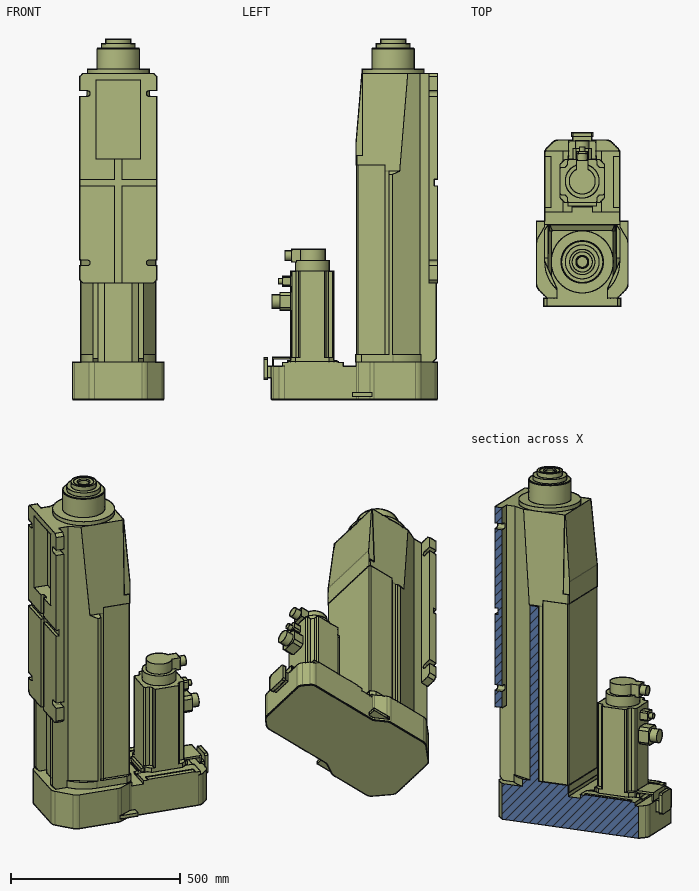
import cadquery as cq


TOTAL_HEIGHT = 1065.0

FRONT_Y = -131.0
CASE_HALF_WIDTH = 135.0
CASE_HEIGHT = 112.0
CASE_FRONT_CHAMFER = 55.0
CASE_BACK_START_Y = 63.0
CASE_BACK_CHAMFER_END_Y = 104.0
CASE_BACK_Y = 110.0
CASE_CORNER_RADIUS = 23.0
CASE_INNER_RADIUS = 12.0
CASE_BOTTOM_CHAMFER = 2.0
ARM_HALF_WIDTH = 111.0
ARM_HEIGHT = 100.0
ARM_END_Y = 360.0
ARM_CHAMFER = 30.0
ARM_PAD_START_Y = 147.0
ARM_PAD_END_Y = 327.0
ARM_PAD_HEIGHT = 111.0
ARM_PAD_NOTCH_HALF_WIDTH = 31.0
ARM_PAD_NOTCH_LENGTH = 15.0
ARM_PAD_TROUGH_HALF_WIDTH = 56.0
ARM_PAD_TROUGH_DEPTH = 5.0
SIDE_STRIP_WIDTH = 19.0
SIDE_STRIP_START_Y = 161.0
SIDE_STRIP_END_Y = 311.0
SIDE_STRIP_RISE = 2.0
TAB_END_Y = 120.0
TAB_BOTTOM = 11.0
TAB_THICKNESS = 11.0

COLUMN_HALF_WIDTH = 111.0
COLUMN_BACK_Y = 110.0
COLUMN_TOP = 964.0
COLUMN_BACK_CHAMFER = 4.0
SLANT_START_Y = 2.0
NECK_HALF_WIDTH = 75.0
NECK_START_Y = -79.0
NECK_FRONT_Y = -128.0
NECK_FOOT_CHAMFER = 11.0
TRENCH_HALF_WIDTH = 60.0
TRENCH_SIDE_Y = -89.0
TRENCH_FLAT_HALF_WIDTH = 40.0
TRENCH_FLAT_Y = -101.0
FOOT_TOP = 134.0
FOOT_BACK_Y = 111.0
FOOT_BACK_CHAMFER_X = 10.0
FOOT_BACK_CHAMFER_Y = 17.0

PANEL_HALF_WIDTH = 101.0
PANEL_INSET = 1.0
PANEL_START_Y = 25.0
PANEL_TOP = 693.0
RAIL_BACK_Y = 12.0
RAIL_TOP = 675.0

HEAD_TOP_HALF_WIDTH = 90.0
HEAD_TOP_BACK_Y = 93.0
HEAD_BACK_TAPER_END = 761.0
HEAD_CORNER_Y = 90.0
HEAD_CORNER_BOTTOM = 722.0
HEAD_CORNER_DEPTH = 2.0

PLATE_HALF_WIDTH = 114.0
PLATE_THICKNESS = 25.0
PLATE_BOTTOM = 345.0
PLATE_CHAMFER = 10.0
SLOT_HEIGHTS = (405.0, 904.0)
SLOT_WIDTH = 17.0
SLOT_LENGTH = 31.0
POCKET_HALF_WIDTH = 66.0
POCKET_BOTTOM = 711.0
POCKET_TOP = 945.0
POCKET_DEPTH = 43.0
GROOVE_DEPTH = 10.0
KEYWAY_WIDTH = 22.0
CROSS_GROOVE_BOTTOM = 632.0
CROSS_GROOVE_TOP = 651.0

FLANGE_RADIUS = 92.0
FLANGE_TOP = 977.0
SPINDLE_RADIUS = 63.0
SPINDLE_SHOULDER = 1038.0
SPINDLE_CHAMFER = 2.0
COLLAR_RADIUS = 50.0
COLLAR_TOP = 1051.0
TIP_RADIUS = 37.0
TIP_RECESS_RADIUS = 30.0
TIP_RECESS_DEPTH = 1.0
TIP_HOLE_RADIUS = 16.0
TIP_HOLE_DEPTH = 32.0
TIP_HOLE_CHAMFER = 3.0

MOTOR_Y = 239.0
MOTOR_HALF_WIDTH = 66.0
MOTOR_HALF_DEPTH = 64.0
MOTOR_TOP = 380.0
MOTOR_CORNER_CHAMFER = 15.0
MOTOR_FLANGE_TOP = 125.0
MOTOR_SEAT_HALF_WIDTH = 42.0
MOTOR_SEAT_HALF_DEPTH = 73.0
MOTOR_SEAT_TOP = 117.0
CORNER_GROOVE_X = 44.0
CORNER_GROOVE_Y = 40.0
CORNER_GROOVE_CHAMFER = 7.0
CORNER_GROOVE_LIP = 4.0
ENCODER_RADIUS = 50.0
ENCODER_TOP = 412.0
CAP_RADIUS = 38.0
CAP_TOP = 445.0

CAP_CONNECTOR = (17.0, 407.0, CAP_TOP, 299.0, 0, 15.0, 320.0)
SIGNAL_CONNECTOR = (16.0, 335.0, 365.0, 326.0, 4.0, 9.0, 339.0)
POWER_CONNECTOR = (27.0, 264.0, 317.0, 334.0, 9.0, 20.0, 358.0)

COVER_HALF_WIDTH = 40.0
COVER_TOP = 127.0
COVER_THICKNESS = 6.0
COVER_START_Y = 304.0
COVER_END_Y = 357.0
COVER_LEG_THICKNESS = 4.0
STOP_HALF_WIDTH = 32.0
STOP_START_Y = 371.0
STOP_END_Y = 381.0
STOP_BOTTOM = 60.0
STOP_TOP = 125.0
STOP_CHAMFER = 5.0
STOP_LINK_HALF_WIDTH = 29.0
STOP_LINK_BOTTOM = 65.0


def block(x_range, y_range, z_range):
    """Box between pairs of coordinates."""
    (x0, x1), (y0, y1), (z0, z1) = x_range, y_range, z_range
    return cq.Workplane("XY").box(x1 - x0, y1 - y0, z1 - z0, centered=False).translate((x0, y0, z0))


def centred_block(half_width, y_range, z_range):
    """Box that is symmetric about X = 0."""
    return block((-half_width, half_width), y_range, z_range)


def cylinder(radius, z_range, y=0.0):
    """Upright cylinder centred on X = 0."""
    bottom, top = z_range
    return cq.Workplane("XY", origin=(0, y, bottom)).circle(radius).extrude(top - bottom)


def mirrored_prism(half_outline, z_range):
    """Upright prism from the +X half of an outline, listed from one end of the symmetry line to the other."""
    bottom, top = z_range
    mirrored_half = [(-x, y) for x, y in reversed(half_outline)]
    base = cq.Workplane("XY", origin=(0, 0, bottom))
    return base.polyline(half_outline + mirrored_half).close().extrude(top - bottom)


def both_sides(shape):
    """A +X feature together with its mirror image."""
    return shape.union(shape.mirror("YZ"))


def belt_case():
    case_outline = [
        (CASE_HALF_WIDTH - CASE_FRONT_CHAMFER, FRONT_Y),
        (CASE_HALF_WIDTH, FRONT_Y + CASE_FRONT_CHAMFER),
        (CASE_HALF_WIDTH, CASE_BACK_START_Y),
        (ARM_HALF_WIDTH, CASE_BACK_CHAMFER_END_Y),
        (ARM_HALF_WIDTH, CASE_BACK_Y),
    ]
    wide_end = mirrored_prism(case_outline, (0, CASE_HEIGHT))
    wide_end = (
        wide_end.edges("|Z")
        .filter(lambda edge: edge.Center().y < CASE_BACK_CHAMFER_END_Y - CASE_INNER_RADIUS)
        .fillet(CASE_CORNER_RADIUS)
    )
    for x in (-ARM_HALF_WIDTH, ARM_HALF_WIDTH):
        inner_corner = cq.selectors.NearestToPointSelector((x, CASE_BACK_CHAMFER_END_Y, CASE_HEIGHT / 2))
        wide_end = wide_end.edges(inner_corner).fillet(CASE_INNER_RADIUS)
    arm_outline = [
        (ARM_HALF_WIDTH, 0),
        (ARM_HALF_WIDTH, ARM_END_Y - ARM_CHAMFER),
        (ARM_HALF_WIDTH - ARM_CHAMFER, ARM_END_Y),
    ]
    arm = mirrored_prism(arm_outline, (0, ARM_HEIGHT))
    arm = arm.edges("|Z").edges("not <Y").fillet(CASE_CORNER_RADIUS)
    case = wide_end.union(arm).faces("<Z").edges().chamfer(CASE_BOTTOM_CHAMFER)
    return case.union(arm_pad()).union(both_sides(side_tab()))


def arm_pad():
    """Raised seat for the motor on the arm of the case."""
    pad = centred_block(ARM_HALF_WIDTH, (ARM_PAD_START_Y, ARM_PAD_END_Y), (ARM_HEIGHT, ARM_PAD_HEIGHT))
    notch = centred_block(
        ARM_PAD_NOTCH_HALF_WIDTH,
        (ARM_PAD_START_Y, ARM_PAD_START_Y + ARM_PAD_NOTCH_LENGTH),
        (ARM_HEIGHT, ARM_PAD_HEIGHT),
    )
    trough = centred_block(
        ARM_PAD_TROUGH_HALF_WIDTH,
        (ARM_PAD_START_Y, ARM_PAD_END_Y),
        (ARM_PAD_HEIGHT - ARM_PAD_TROUGH_DEPTH, ARM_PAD_HEIGHT),
    )
    strip = block(
        (ARM_HALF_WIDTH - SIDE_STRIP_WIDTH, ARM_HALF_WIDTH),
        (SIDE_STRIP_START_Y, SIDE_STRIP_END_Y),
        (ARM_PAD_HEIGHT, ARM_PAD_HEIGHT + SIDE_STRIP_RISE),
    )
    return pad.cut(trough).cut(notch).union(both_sides(strip))


def side_tab():
    """Thin web in the corner between the wide end and the arm."""
    return block(
        (ARM_HALF_WIDTH, CASE_HALF_WIDTH),
        (CASE_BACK_START_Y, TAB_END_Y),
        (TAB_BOTTOM, TAB_BOTTOM + TAB_THICKNESS),
    )


def column():
    neck_outline = [
        (TRENCH_FLAT_HALF_WIDTH, TRENCH_FLAT_Y),
        (TRENCH_HALF_WIDTH, TRENCH_SIDE_Y),
        (TRENCH_HALF_WIDTH, NECK_FRONT_Y),
        (NECK_HALF_WIDTH, NECK_FRONT_Y),
        (NECK_HALF_WIDTH, NECK_START_Y),
    ]
    body_outline = neck_outline + [
        (COLUMN_HALF_WIDTH, SLANT_START_Y),
        (COLUMN_HALF_WIDTH, RAIL_BACK_Y),
        (PANEL_HALF_WIDTH, RAIL_BACK_Y),
        (PANEL_HALF_WIDTH, COLUMN_BACK_Y - COLUMN_BACK_CHAMFER),
        (PANEL_HALF_WIDTH - COLUMN_BACK_CHAMFER, COLUMN_BACK_Y),
    ]
    body = mirrored_prism(body_outline, (FOOT_TOP, COLUMN_TOP))
    body = body.cut(both_sides(space_above_rail())).intersect(head_envelope())
    body = body.cut(both_sides(head_corner())).cut(panel_inset())
    neck = mirrored_prism(neck_outline + [(NECK_HALF_WIDTH, 0)], (CASE_HEIGHT, COLUMN_TOP))
    foot_chamfer = (
        cq.Workplane("YZ")
        .polyline([
            (NECK_FRONT_Y, CASE_HEIGHT),
            (NECK_FRONT_Y, CASE_HEIGHT + NECK_FOOT_CHAMFER),
            (NECK_FRONT_Y + NECK_FOOT_CHAMFER, CASE_HEIGHT),
        ])
        .close()
        .extrude(NECK_HALF_WIDTH, both=True)
    )
    return body.union(neck.cut(foot_chamfer)).union(column_foot())


def column_foot():
    """Low round-fronted foot under the column."""
    foot_outline = [
        (COLUMN_HALF_WIDTH, 0),
        (COLUMN_HALF_WIDTH, FOOT_BACK_Y - FOOT_BACK_CHAMFER_Y),
        (COLUMN_HALF_WIDTH - FOOT_BACK_CHAMFER_X, FOOT_BACK_Y),
    ]
    foot = mirrored_prism(foot_outline, (CASE_HEIGHT, FOOT_TOP))
    front = cylinder(COLUMN_HALF_WIDTH, (CASE_HEIGHT, FOOT_TOP))
    neck_space = centred_block(NECK_HALF_WIDTH, (FRONT_Y, 0), (CASE_HEIGHT, FOOT_TOP))
    return foot.union(front.cut(neck_space))


def space_above_rail():
    """Material removed above the bevelled top of the narrow rail."""
    rail_depth = COLUMN_HALF_WIDTH - PANEL_HALF_WIDTH
    return (
        cq.Workplane("XZ", origin=(0, RAIL_BACK_Y, 0))
        .polyline([
            (PANEL_HALF_WIDTH, RAIL_TOP),
            (COLUMN_HALF_WIDTH, RAIL_TOP - rail_depth),
            (COLUMN_HALF_WIDTH, COLUMN_TOP),
            (PANEL_HALF_WIDTH, COLUMN_TOP),
        ])
        .close()
        .extrude(RAIL_BACK_Y - NECK_FRONT_Y)
    )


def panel_inset():
    """Thin skin removed from the sides and back of the column below the head."""
    z_range = (FOOT_TOP, PANEL_TOP)
    panel_x = PANEL_HALF_WIDTH - PANEL_INSET
    panel_back_y = COLUMN_BACK_Y - PANEL_INSET
    inner_outline = [
        (panel_x, PANEL_START_Y),
        (panel_x, panel_back_y - COLUMN_BACK_CHAMFER),
        (panel_x - COLUMN_BACK_CHAMFER, panel_back_y),
    ]
    skin = centred_block(PANEL_HALF_WIDTH, (PANEL_START_Y, COLUMN_BACK_Y), z_range)
    return skin.cut(mirrored_prism(inner_outline, z_range))


def head_envelope():
    """Space left by the tapered sides and the tapered back of the head."""
    side_profile = [
        (COLUMN_HALF_WIDTH, 0),
        (COLUMN_HALF_WIDTH, RAIL_TOP),
        (PANEL_HALF_WIDTH, RAIL_TOP),
        (HEAD_TOP_HALF_WIDTH, COLUMN_TOP),
    ]
    sides = (
        cq.Workplane("XZ", origin=(0, COLUMN_BACK_Y, 0))
        .polyline(side_profile + [(-x, z) for x, z in reversed(side_profile)])
        .close()
        .extrude(COLUMN_BACK_Y - FRONT_Y)
    )
    back = (
        cq.Workplane("YZ")
        .polyline([
            (FRONT_Y, 0),
            (COLUMN_BACK_Y, 0),
            (COLUMN_BACK_Y, HEAD_BACK_TAPER_END),
            (HEAD_TOP_BACK_Y, COLUMN_TOP),
            (FRONT_Y, COLUMN_TOP),
        ])
        .close()
        .extrude(COLUMN_HALF_WIDTH, both=True)
    )
    return sides.intersect(back)


def head_corner():
    """Shallow relief along the back corner of the head, following its side taper."""
    taper = (PANEL_HALF_WIDTH - HEAD_TOP_HALF_WIDTH) / (COLUMN_TOP - RAIL_TOP)
    bottom_x = HEAD_TOP_HALF_WIDTH + taper * (COLUMN_TOP - HEAD_CORNER_BOTTOM) - HEAD_CORNER_DEPTH
    return (
        cq.Workplane("XZ", origin=(0, COLUMN_BACK_Y, 0))
        .polyline([
            (bottom_x, HEAD_CORNER_BOTTOM),
            (COLUMN_HALF_WIDTH, HEAD_CORNER_BOTTOM),
            (COLUMN_HALF_WIDTH, COLUMN_TOP),
            (HEAD_TOP_HALF_WIDTH - HEAD_CORNER_DEPTH, COLUMN_TOP),
        ])
        .close()
        .extrude(COLUMN_BACK_Y - HEAD_CORNER_Y)
    )


def mounting_plate():
    back_y = FRONT_Y + PLATE_THICKNESS
    plate = centred_block(PLATE_HALF_WIDTH, (FRONT_Y, back_y), (PLATE_BOTTOM, COLUMN_TOP))
    plate = plate.edges("|Y").chamfer(PLATE_CHAMFER)
    backing = centred_block(NECK_HALF_WIDTH, (back_y, TRENCH_SIDE_Y), (PLATE_BOTTOM, COLUMN_TOP))
    return plate.cut(both_sides(edge_slots())).union(backing)


def edge_slots():
    """Round-ended bolt slots that open on the +X edge of the plate."""
    slots = cq.Workplane("XY")
    arc_x = PLATE_HALF_WIDTH - SLOT_LENGTH + SLOT_WIDTH / 2
    for height in SLOT_HEIGHTS:
        slot = (
            cq.Workplane("XZ", origin=(0, FRONT_Y + PLATE_THICKNESS, 0))
            .moveTo(PLATE_HALF_WIDTH, height - SLOT_WIDTH / 2)
            .lineTo(arc_x, height - SLOT_WIDTH / 2)
            .threePointArc((arc_x - SLOT_WIDTH / 2, height), (arc_x, height + SLOT_WIDTH / 2))
            .lineTo(PLATE_HALF_WIDTH, height + SLOT_WIDTH / 2)
            .close()
            .extrude(PLATE_THICKNESS)
        )
        slots = slots.add(slot)
    return slots.combine()


def plate_cuts():
    """Window pocket, upright keyway and cross groove in the front of the plate."""
    pocket = centred_block(POCKET_HALF_WIDTH, (FRONT_Y, FRONT_Y + POCKET_DEPTH), (POCKET_BOTTOM, POCKET_TOP))
    groove_y = (FRONT_Y, FRONT_Y + GROOVE_DEPTH)
    keyway = centred_block(KEYWAY_WIDTH / 2, groove_y, (PLATE_BOTTOM, POCKET_BOTTOM))
    cross_groove = centred_block(PLATE_HALF_WIDTH, groove_y, (CROSS_GROOVE_BOTTOM, CROSS_GROOVE_TOP))
    return pocket.union(keyway).union(cross_groove)


def motor():
    seat_y = (MOTOR_Y - MOTOR_SEAT_HALF_DEPTH, MOTOR_Y + MOTOR_SEAT_HALF_DEPTH)
    side_y = (MOTOR_Y - MOTOR_HALF_DEPTH, MOTOR_Y + MOTOR_HALF_DEPTH)
    seat = centred_block(MOTOR_SEAT_HALF_WIDTH, seat_y, (ARM_HEIGHT, MOTOR_SEAT_TOP))
    flange = centred_block(MOTOR_HALF_WIDTH, side_y, (ARM_HEIGHT, MOTOR_FLANGE_TOP))
    flange = flange.edges("|Z").chamfer(MOTOR_CORNER_CHAMFER)
    frame = centred_block(MOTOR_HALF_WIDTH, side_y, (MOTOR_FLANGE_TOP, MOTOR_TOP))
    frame = frame.edges("|Z").chamfer(MOTOR_CORNER_CHAMFER)
    for x_side in (-1, 1):
        for y_side in (-1, 1):
            frame = frame.cut(corner_groove(x_side, y_side))
    encoder = cylinder(ENCODER_RADIUS, (MOTOR_TOP, ENCODER_TOP), MOTOR_Y)
    cap = cylinder(CAP_RADIUS, (ENCODER_TOP, CAP_TOP), MOTOR_Y)
    whole = frame.union(seat).union(flange).union(encoder).union(cap)
    for connector in (CAP_CONNECTOR, SIGNAL_CONNECTOR, POWER_CONNECTOR):
        whole = whole.union(cable_connector(*connector))
    return whole


def corner_groove(x_side, y_side):
    """Upright groove along one corner of the motor frame."""
    outline = [
        (CORNER_GROOVE_X - CORNER_GROOVE_LIP, MOTOR_HALF_DEPTH),
        (CORNER_GROOVE_X, MOTOR_HALF_DEPTH - CORNER_GROOVE_LIP),
        (CORNER_GROOVE_X, CORNER_GROOVE_Y + CORNER_GROOVE_CHAMFER),
        (CORNER_GROOVE_X + CORNER_GROOVE_CHAMFER, CORNER_GROOVE_Y),
        (MOTOR_HALF_WIDTH - CORNER_GROOVE_LIP, CORNER_GROOVE_Y),
        (MOTOR_HALF_WIDTH, CORNER_GROOVE_Y - CORNER_GROOVE_LIP),
        (MOTOR_HALF_WIDTH, MOTOR_HALF_DEPTH),
    ]
    return (
        cq.Workplane("XY", origin=(0, MOTOR_Y, MOTOR_FLANGE_TOP))
        .polyline([(x_side * x, y_side * y) for x, y in outline])
        .close()
        .extrude(MOTOR_TOP - MOTOR_FLANGE_TOP)
    )


def cable_connector(half_width, bottom, top, box_end_y, corner_chamfer, plug_radius, plug_end_y):
    """Square or eight-sided box pointing toward +Y, with a round plug on its end."""
    box = centred_block(half_width, (MOTOR_Y, box_end_y), (bottom, top))
    if corner_chamfer:
        box = box.edges("|Y").chamfer(corner_chamfer)
    plug = (
        cq.Workplane("XZ", origin=(0, plug_end_y, (bottom + top) / 2))
        .circle(plug_radius)
        .extrude(plug_end_y - MOTOR_Y)
    )
    return box.union(plug)


def end_brackets():
    cover = centred_block(
        COVER_HALF_WIDTH, (COVER_START_Y, COVER_END_Y), (COVER_TOP - COVER_THICKNESS, COVER_TOP)
    )
    leg = centred_block(
        COVER_HALF_WIDTH, (COVER_END_Y - COVER_LEG_THICKNESS, COVER_END_Y), (ARM_HEIGHT, COVER_TOP)
    )
    link = centred_block(STOP_LINK_HALF_WIDTH, (ARM_END_Y, STOP_START_Y), (STOP_LINK_BOTTOM, ARM_HEIGHT))
    stop = centred_block(STOP_HALF_WIDTH, (STOP_START_Y, STOP_END_Y), (STOP_BOTTOM, STOP_TOP))
    stop = stop.edges("|Y").chamfer(STOP_CHAMFER)
    return cover.union(leg).union(link).union(stop)


def make_housing():
    flange = cylinder(FLANGE_RADIUS, (COLUMN_TOP, FLANGE_TOP))
    flange_bore = cylinder(SPINDLE_RADIUS, (COLUMN_TOP, FLANGE_TOP))
    upright = column().union(mounting_plate()).cut(plate_cuts())
    upright = upright.union(flange.cut(flange_bore))
    return belt_case().union(upright).union(motor()).union(end_brackets())


def make_spindle():
    """Stepped spindle that stands in the bore of the top flange."""
    shank = cylinder(SPINDLE_RADIUS, (COLUMN_TOP, SPINDLE_SHOULDER)).faces(">Z").chamfer(SPINDLE_CHAMFER)
    collar = cylinder(COLLAR_RADIUS, (SPINDLE_SHOULDER, COLLAR_TOP))
    tip = cylinder(TIP_RADIUS, (COLLAR_TOP, TOTAL_HEIGHT))
    recess_floor = TOTAL_HEIGHT - TIP_RECESS_DEPTH
    recess = cylinder(TIP_RECESS_RADIUS, (recess_floor, TOTAL_HEIGHT))
    hole = cylinder(TIP_HOLE_RADIUS, (recess_floor - TIP_HOLE_DEPTH, recess_floor))
    countersink = (
        cq.Workplane("XY", origin=(0, 0, recess_floor))
        .circle(TIP_HOLE_RADIUS + TIP_HOLE_CHAMFER)
        .workplane(offset=-TIP_HOLE_CHAMFER)
        .circle(TIP_HOLE_RADIUS)
        .loft()
    )
    return shank.union(collar).union(tip).cut(recess).cut(hole).cut(countersink)


housing = make_housing().solids()
spindle = make_spindle().solids()
result = cq.Compound.makeCompound([housing.val(), spindle.val()])